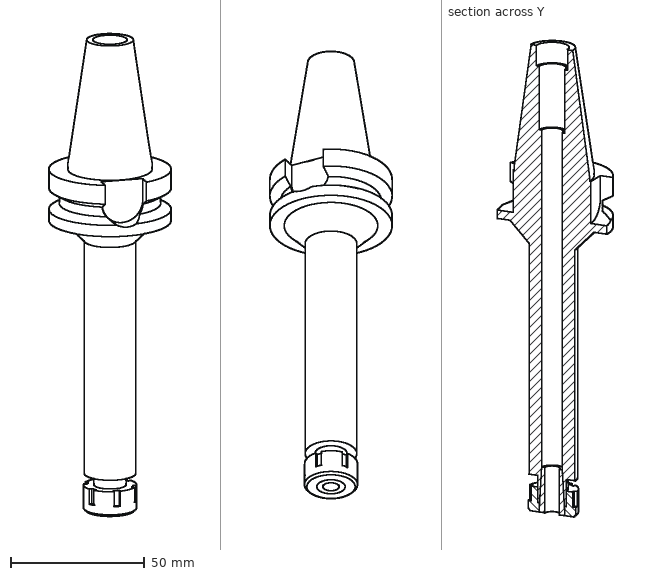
import cadquery as cq
import math

TOTAL_HEIGHT = 183.4

TAPER_RATIO = 7 / 24
TAPER_LENGTH = 48.5
GAUGE_DIAMETER = 31.7
GAUGE_RADIUS = GAUGE_DIAMETER / 2
GAUGE_COLLAR_HEIGHT = 2.0
TAPER_TOP_RADIUS = GAUGE_RADIUS - TAPER_LENGTH * TAPER_RATIO / 2
GAUGE_Z = TOTAL_HEIGHT - TAPER_LENGTH

FLANGE_DIAMETER = 46.0
FLANGE_RADIUS = FLANGE_DIAMETER / 2
FLANGE_HEIGHT = 20.0
FLANGE_TOP_Z = GAUGE_Z - GAUGE_COLLAR_HEIGHT
FLANGE_BOTTOM_Z = FLANGE_TOP_Z - FLANGE_HEIGHT
UPPER_RIM_HEIGHT = 7.3
LOWER_RIM_HEIGHT = 4.4
GROOVE_RADIUS = 19.0
GROOVE_WALL_ANGLE = 30
GROOVE_WALL_HEIGHT = (FLANGE_RADIUS - GROOVE_RADIUS) * math.tan(math.radians(GROOVE_WALL_ANGLE))
GROOVE_TOP_Z = FLANGE_TOP_Z - UPPER_RIM_HEIGHT
GROOVE_BOTTOM_Z = FLANGE_BOTTOM_Z + LOWER_RIM_HEIGHT

KEYWAY_WIDTH = 16.1
KEYWAY_HEIGHT = 16.5
KEYWAY_FLOOR_X = 16.3

NUT_DIAMETER = 20.0
NUT_RADIUS = NUT_DIAMETER / 2
NUT_HEIGHT = 9.9
NUT_CHAMFER = 1.0
NUT_LIP_HEIGHT = 3.7
NUT_SLOT_COUNT = 6
NUT_SLOT_WIDTH = 2.4
NUT_SLOT_DEPTH = 1.3
NUT_SLOT_BOTTOM_Z = 4.0

SHAFT_RADIUS = 9.7
SHAFT_BOTTOM_Z = 14.3
CONE_HEIGHT = 7.9
CONE_TOP_RADIUS = SHAFT_RADIUS + CONE_HEIGHT
CONE_BOTTOM_Z = FLANGE_BOTTOM_Z - CONE_HEIGHT
SPIGOT_RADIUS = 6.0
SPIGOT_BOTTOM_Z = NUT_LIP_HEIGHT

COLLET_LENGTH = 18.0
COLLET_TOP_RADIUS = 4.2
COLLET_BOTTOM_RADIUS = 5.3
COLLET_BORE_DIAMETER = 6.0
COLLET_BORE_RADIUS = COLLET_BORE_DIAMETER / 2

COUNTERBORE_RADIUS = 6.5
COUNTERBORE_DEPTH = 8.0
THREAD_BORE_RADIUS = 5.3
THREAD_BORE_DEPTH = 33.0
PASSAGE_RADIUS = COLLET_TOP_RADIUS


def disc(bottom_z, top_z, radius):
    """Cylinder on the Z axis between two heights."""
    return cq.Workplane("XY").workplane(offset=bottom_z).circle(radius).extrude(top_z - bottom_z)


def collet_envelope():
    """Tapered solid filled by the collet; also cuts its seat in the holder and the nut."""
    profile = [
        (0, 0),
        (COLLET_BOTTOM_RADIUS, 0),
        (COLLET_TOP_RADIUS, COLLET_LENGTH),
        (0, COLLET_LENGTH),
    ]
    return cq.Workplane("XZ").polyline(profile).close().revolve(360, (0, 0), (0, 1))


def holder_blank():
    """Turned outside shape of the holder, from spigot to taper."""
    profile = [
        (0, SPIGOT_BOTTOM_Z),
        (SPIGOT_RADIUS, SPIGOT_BOTTOM_Z),
        (SPIGOT_RADIUS, SHAFT_BOTTOM_Z),
        (SHAFT_RADIUS, SHAFT_BOTTOM_Z),
        (SHAFT_RADIUS, CONE_BOTTOM_Z),
        (CONE_TOP_RADIUS, FLANGE_BOTTOM_Z),
        (FLANGE_RADIUS, FLANGE_BOTTOM_Z),
        (FLANGE_RADIUS, GROOVE_BOTTOM_Z),
        (GROOVE_RADIUS, GROOVE_BOTTOM_Z + GROOVE_WALL_HEIGHT),
        (GROOVE_RADIUS, GROOVE_TOP_Z - GROOVE_WALL_HEIGHT),
        (FLANGE_RADIUS, GROOVE_TOP_Z),
        (FLANGE_RADIUS, FLANGE_TOP_Z),
        (GAUGE_RADIUS, FLANGE_TOP_Z),
        (GAUGE_RADIUS, GAUGE_Z),
        (TAPER_TOP_RADIUS, TOTAL_HEIGHT),
        (0, TOTAL_HEIGHT),
    ]
    return cq.Workplane("XZ").polyline(profile).close().revolve(360, (0, 0), (0, 1))


def holder_bore():
    """Stepped bore from the small end of the taper down to the collet."""
    counterbore = disc(TOTAL_HEIGHT - COUNTERBORE_DEPTH, TOTAL_HEIGHT, COUNTERBORE_RADIUS)
    thread_bore = disc(TOTAL_HEIGHT - THREAD_BORE_DEPTH, TOTAL_HEIGHT, THREAD_BORE_RADIUS)
    passage = disc(COLLET_LENGTH, TOTAL_HEIGHT, PASSAGE_RADIUS)
    return passage.union(thread_bore).union(counterbore)


def drive_keyway(side):
    """Round-ended keyway cut into the flange on the +X (side=1) or -X (side=-1) side."""
    half_width = KEYWAY_WIDTH / 2
    round_center_z = FLANGE_TOP_Z - KEYWAY_HEIGHT + half_width
    return (
        cq.Workplane("YZ", origin=(side * KEYWAY_FLOOR_X, 0, 0))
        .moveTo(-half_width, FLANGE_TOP_Z)
        .lineTo(-half_width, round_center_z)
        .threePointArc((0, round_center_z - half_width), (half_width, round_center_z))
        .lineTo(half_width, FLANGE_TOP_Z)
        .close()
        .extrude(side * FLANGE_RADIUS)
    )


def make_holder():
    """Taper shank, flange and shaft in one piece."""
    holder = holder_blank().cut(holder_bore()).cut(collet_envelope())
    for side in (-1, 1):
        holder = holder.cut(drive_keyway(side))
    return holder


def wrench_slot(angle):
    """Axial spanner slot in the rim of the nut, open at its upper face."""
    slot_height = NUT_HEIGHT - NUT_SLOT_BOTTOM_Z
    return (
        cq.Workplane("XY")
        .box(NUT_RADIUS, NUT_SLOT_WIDTH, slot_height, centered=(False, True, False))
        .translate((NUT_RADIUS - NUT_SLOT_DEPTH, 0, NUT_SLOT_BOTTOM_Z))
        .rotate((0, 0, 0), (0, 0, 1), angle)
    )


def make_nut():
    """Clamping nut around the spigot, with a lip under it that surrounds the collet."""
    nut = disc(0, NUT_HEIGHT, NUT_RADIUS).faces("<Z").edges().chamfer(NUT_CHAMFER)
    nut = nut.cut(disc(NUT_LIP_HEIGHT, NUT_HEIGHT, SPIGOT_RADIUS))
    nut = nut.cut(collet_envelope())
    for index in range(NUT_SLOT_COUNT):
        nut = nut.cut(wrench_slot(index * 360 / NUT_SLOT_COUNT))
    return nut


def make_collet():
    """Tapered collet with a straight through bore."""
    return collet_envelope().cut(disc(0, COLLET_LENGTH, COLLET_BORE_RADIUS))


holder = make_holder()
nut = make_nut()
collet = make_collet()

result = cq.Compound.makeCompound([holder.val(), nut.val(), collet.val()])